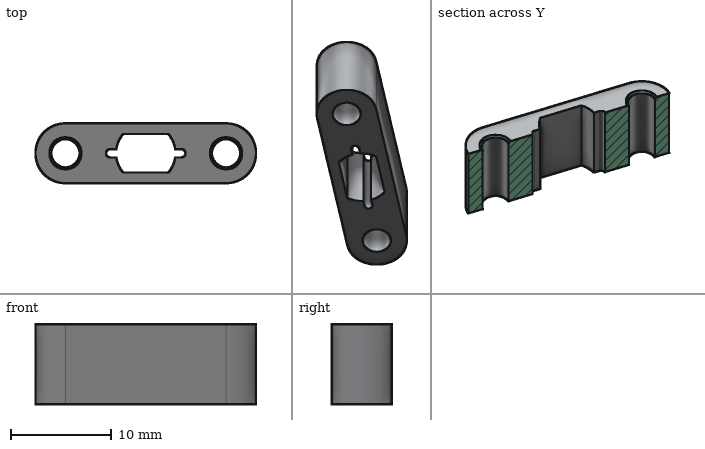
import cadquery as cq

LENGTH = 22.0
WIDTH = 6.0
HEIGHT = 8.0

HOLE_SPACING = LENGTH - WIDTH
HOLE_DIAMETER = 2.8
HOLE_CHAMFER = 0.2

OPENING_DIAMETER = 5.9
OPENING_FLAT_WIDTH = 3.8
KEYWAY_LENGTH = 7.9
KEYWAY_WIDTH = 0.8


def make_body():
    return cq.Workplane("XY").slot2D(LENGTH, WIDTH).extrude(HEIGHT)


def make_screw_hole(x):
    """Through hole cutter with a chamfered mouth at the top."""
    hole = cq.Workplane("XY").center(x, 0).circle(HOLE_DIAMETER / 2).extrude(HEIGHT)
    mouth = (
        cq.Workplane("XY", origin=(x, 0, HEIGHT - HOLE_CHAMFER))
        .circle(HOLE_DIAMETER / 2)
        .workplane(offset=HOLE_CHAMFER)
        .circle(HOLE_DIAMETER / 2 + HOLE_CHAMFER)
        .loft(ruled=True)
    )
    return hole.union(mouth)


def make_opening():
    """Through cutter for the flatted circle and its keyway."""
    disc = cq.Workplane("XY").circle(OPENING_DIAMETER / 2).extrude(HEIGHT)
    flats = (
        cq.Workplane("XY")
        .rect(OPENING_DIAMETER, OPENING_FLAT_WIDTH)
        .extrude(HEIGHT)
    )
    keyway = cq.Workplane("XY").slot2D(KEYWAY_LENGTH, KEYWAY_WIDTH).extrude(HEIGHT)
    return disc.intersect(flats).union(keyway)


result = make_body().cut(make_opening())
for side in (-1, 1):
    result = result.cut(make_screw_hole(side * HOLE_SPACING / 2))